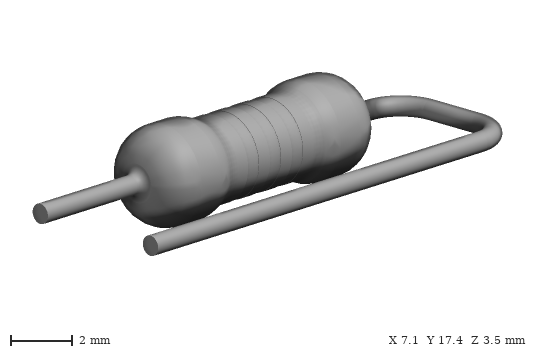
import cadquery as cq

wire_diameter = 0.7
lead_pitch = 5.0
bend_radius = 1.4
overall_length = 17.35

body_diameter = 3.5
band_diameter = 3.0
waist_diameter = 2.97
body_center_y = 9.58
ring_width = 0.52
ring_count = 7
shoulder_length = 1.0
cap_length = 0.94
dome_length = 1.25
collar_length = 0.31
collar_diameter = 1.34

wire_radius = wire_diameter / 2
body_radius = body_diameter / 2
band_radius = band_diameter / 2
waist_radius = waist_diameter / 2
collar_radius = collar_diameter / 2
waist_half = ring_count * ring_width / 2
shoulder_end = waist_half + shoulder_length
cap_end = shoulder_end + cap_length
dome_end = cap_end + dome_length
collar_end = dome_end + collar_length


def make_free_leg():
    """Straight leg from its tip to the collar on the -Y end of the body."""
    return cq.Workplane("XZ").circle(wire_radius).extrude(-(body_center_y - collar_end))


def make_folded_leg():
    """Leg leaving the +Y collar and bending twice to run back beside the body."""
    start_y = body_center_y + collar_end
    top_y = overall_length - wire_radius
    bend_y = top_y - bend_radius
    path = (
        cq.Workplane("XY")
        .moveTo(0, start_y)
        .lineTo(0, bend_y)
        .tangentArcPoint((bend_radius, top_y), relative=False)
        .lineTo(lead_pitch - bend_radius, top_y)
        .tangentArcPoint((lead_pitch, bend_y), relative=False)
        .lineTo(lead_pitch, 0)
    )
    return cq.Workplane("XZ", origin=(0, start_y, 0)).circle(wire_radius).sweep(path)


def make_waist():
    """Waist cylinder with slightly raised bands on every other ring."""
    waist = cq.Workplane("XZ").circle(waist_radius).extrude(waist_half, both=True)
    for index in range(0, ring_count, 2):
        start = -waist_half + index * ring_width
        band = cq.Workplane("XZ", origin=(0, start, 0)).circle(band_radius).extrude(-ring_width)
        waist = waist.union(band)
    return waist


def make_end_cap():
    """Cap on the +Y end: S-shaped shoulder, cylinder, dome and flared collar."""
    shoulder_mid = (
        (band_radius + body_radius) / 2,
        waist_half + shoulder_length / 2,
    )
    shoulder_rise = body_radius - band_radius
    shoulder_radius = (shoulder_length**2 + shoulder_rise**2) / (4 * shoulder_rise)
    profile = (
        cq.Workplane("XY")
        .moveTo(0, waist_half)
        .lineTo(band_radius, waist_half)
        .radiusArc(shoulder_mid, shoulder_radius)
        .tangentArcPoint((body_radius, shoulder_end), relative=False)
        .lineTo(body_radius, cap_end)
        .tangentArcPoint((collar_radius, dome_end), relative=False)
        .radiusArc((wire_radius, collar_end), collar_length)
        .lineTo(0, collar_end)
        .close()
    )
    return profile.revolve(360, (0, 0, 0), (0, 1, 0))


end_cap = make_end_cap()
body = make_waist().union(end_cap).union(end_cap.mirror("XZ"))
body = body.translate((0, body_center_y, 0))
result = body.union(make_free_leg()).union(make_folded_leg())